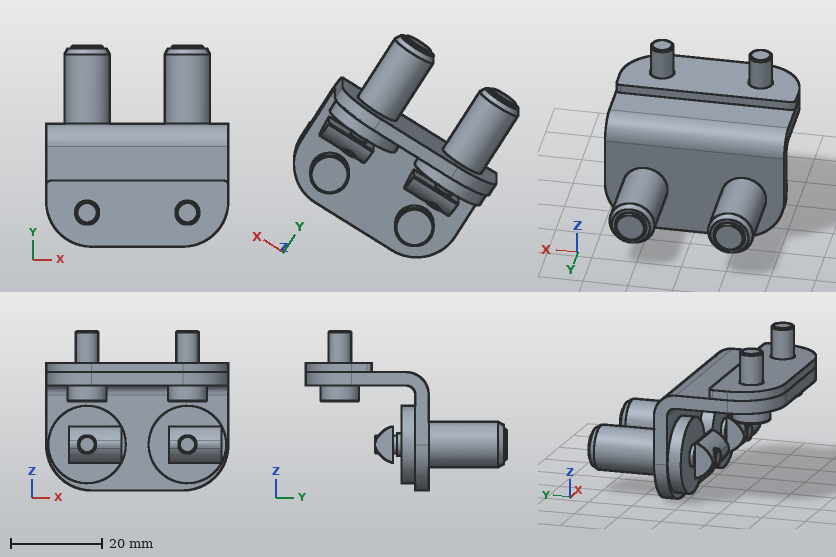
import cadquery as cq


width = 40.0
sheet = 3.0
shelf_depth = 27.0
wall_height = 26.0
bend_radius = 5.0
corner_radius = 10.0

plate_thickness = 2.0
plate_depth = 14.5
plate_back_radius = 1.0

pair_spacing = 22.0
pair_x = (-pair_spacing / 2, pair_spacing / 2)

screw_diameter = 5.0
screw_clearance = 5.3
screw_head_diameter = 8.5
screw_head_height = 3.5
screw_length = 12.0
screw_tip_chamfer = 0.35
screw_head_chamfer = 0.3
screw_edge_distance = 7.5
screw_y = screw_edge_distance - shelf_depth

axis_height = 10.1
axis_z = axis_height - wall_height
barrel_diameter = 10.0
barrel_length = 16.5
barrel_chamfer_length = 1.3
barrel_end_diameter = 8.5
flange_diameter = 17.0
flange_thickness = 3.0
collar_diameter = 5.0
collar_length = 1.0

stem_diameter = 4.0
stem_reach = 5.85
stem_tip_chamfer = 0.3
stem_head_diameter = 7.0
stem_head_height = 0.6
stem_head_chamfer = 0.4

grip_gap = 1.8
grip_height = 8.0
grip_left = 4.0
grip_length = 11.5
grip_land = 0.3
grip_flank_radius = 6.0
grip_sharp_depth = 4.18
grip_ridge_radius = 2.0

flange_front_y = -sheet - flange_thickness
collar_front_y = flange_front_y - collar_length
grip_back_y = flange_front_y - grip_gap
stem_tip_y = flange_front_y - stem_reach


def vertical_hole(x, diameter):
    """Cutter through the shelf and plate at the screw position."""
    cutter_height = sheet + plate_thickness
    return cq.Workplane("XY", origin=(x, screw_y, -sheet)).circle(diameter / 2).extrude(cutter_height)


def rod_along_y(x, diameter, y_start, y_end):
    """Round rod on a latch axis, from y_start forward (-Y) to y_end."""
    return cq.Workplane("XZ", origin=(x, y_start, axis_z)).circle(diameter / 2).extrude(y_start - y_end)


def make_bracket():
    body = (
        cq.Workplane("YZ", origin=(-width / 2, 0, 0))
        .moveTo(-shelf_depth, 0)
        .lineTo(0, 0)
        .lineTo(0, -wall_height)
        .lineTo(-sheet, -wall_height)
        .lineTo(-sheet, -sheet)
        .lineTo(-shelf_depth, -sheet)
        .close()
        .extrude(width)
    )
    body = body.edges("|X and >Y and >Z").fillet(bend_radius)
    inner_corner = cq.selectors.NearestToPointSelector((0, -sheet, -sheet))
    body = body.edges(inner_corner).fillet(bend_radius - sheet)
    body = body.edges("|Z and <Y").fillet(corner_radius)
    body = body.faces("<Z").edges("|Y").fillet(corner_radius)
    for x in pair_x:
        body = body.cut(vertical_hole(x, screw_clearance))
        body = body.cut(rod_along_y(x, barrel_diameter, 0, -sheet))
    return body


def make_plate():
    body = (
        cq.Workplane("XY", origin=(0, -shelf_depth, 0))
        .rect(width, plate_depth)
        .extrude(plate_thickness)
        .translate((0, plate_depth / 2, 0))
    )
    body = body.edges("|Z and <Y").fillet(corner_radius)
    body = body.edges("|Z and >Y").fillet(plate_back_radius)
    for x in pair_x:
        body = body.cut(vertical_hole(x, screw_clearance))
    return body


def make_screw(x):
    """Screw with its head under the shelf and its shank pointing up."""
    seat = cq.Workplane("XY", origin=(x, screw_y, -sheet))
    head = seat.circle(screw_head_diameter / 2).extrude(-screw_head_height)
    head = head.faces("<Z").chamfer(screw_head_chamfer)
    shank = seat.circle(screw_diameter / 2).extrude(screw_length)
    shank = shank.faces(">Z").chamfer(screw_tip_chamfer)
    return head.union(shank)


def make_housing(x):
    """Barrel, flange and collar on one axis, bored through for the stem."""
    end_inset = (barrel_diameter - barrel_end_diameter) / 2
    barrel = rod_along_y(x, barrel_diameter, barrel_length, -sheet)
    barrel = barrel.faces(">Y").edges().chamfer(barrel_chamfer_length, end_inset)
    flange = rod_along_y(x, flange_diameter, -sheet, flange_front_y)
    collar = rod_along_y(x, collar_diameter, flange_front_y, collar_front_y)
    bore = rod_along_y(x, stem_diameter, barrel_length, collar_front_y)
    return barrel.union(flange).union(collar).cut(bore)


def make_stem(x):
    """Pin through the housing and grip, with a flat head on the barrel end."""
    shaft = rod_along_y(x, stem_diameter, barrel_length, stem_tip_y)
    shaft = shaft.faces("<Y").chamfer(stem_tip_chamfer)
    head = rod_along_y(x, stem_head_diameter, barrel_length + stem_head_height, barrel_length)
    head = head.faces(">Y").chamfer(stem_head_chamfer)
    return shaft.union(head)


def make_grip(x):
    """Bar with a flat back and two arched flanks meeting in a rounded ridge."""
    half_height = grip_height / 2
    land_y = grip_back_y - grip_land
    ridge_y = grip_back_y - grip_sharp_depth
    body = (
        cq.Workplane("YZ", origin=(x - grip_left, 0, axis_z))
        .moveTo(grip_back_y, -half_height)
        .lineTo(land_y, -half_height)
        .radiusArc((ridge_y, 0), grip_flank_radius)
        .radiusArc((land_y, half_height), grip_flank_radius)
        .lineTo(grip_back_y, half_height)
        .close()
        .extrude(grip_length)
    )
    body = body.edges("|X and <Y").fillet(grip_ridge_radius)
    return body.cut(rod_along_y(x, stem_diameter, grip_back_y, grip_back_y - grip_sharp_depth))


bodies = [make_bracket(), make_plate()]
for pair_position in pair_x:
    bodies.append(make_screw(pair_position))
    bodies.append(make_housing(pair_position))
    bodies.append(make_stem(pair_position))
    bodies.append(make_grip(pair_position))

result = cq.Compound.makeCompound([body.solids().val() for body in bodies])